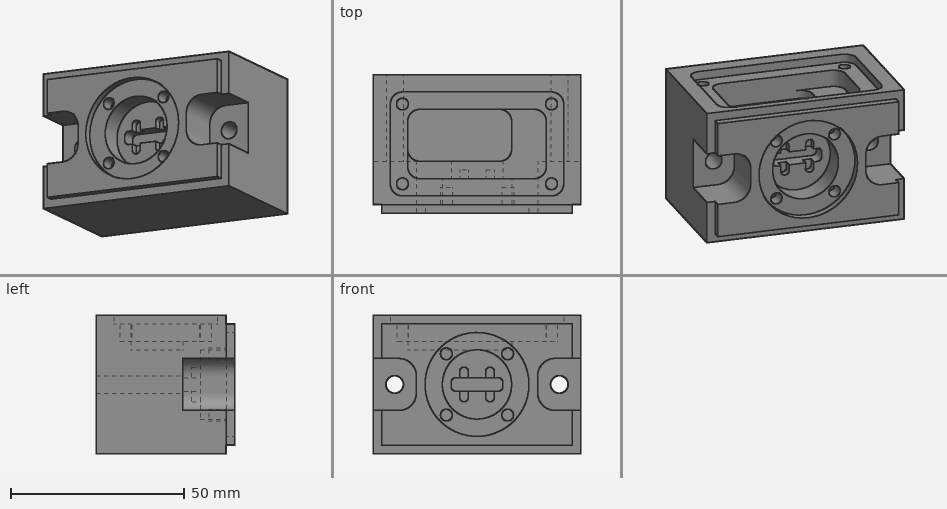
import cadquery as cq

length = 60.0
depth = 40.0
height = 40.0
plate_margin = 2.5
plate_thickness = 2.5

ear_length = 12.5
ear_height = 15.0
ear_depth = 15.0
ear_radius = 5.0
mount_hole_diameter = 5.0
mount_hole_x = 23.75

screw_diameter = 3.4
screw_depth = 5.0

recess_diameter = 30.0
recess_depth = 2.5
bore_diameter = 20.0
bore_depth = 7.5
cross_slot_length = 15.0
cross_slot_width = 4.0
cross_slot_radius = 1.5
pin_slot_length = 10.0
pin_slot_width = 2.5
pin_slot_spacing = 7.5
cross_slot_depth = 5.0
pin_slot_depth = 2.5

pocket_radius = 3.5
lid_length = 50.0
lid_width = 30.0
lid_depth = 2.5
lid_screw_inset = 3.5
cavity_wall = 5.0
cavity_depth = 5.0
well_length = 30.0
well_width = 15.0
well_depth = 2.5

front_y = -depth / 2
shoulder_y = front_y + plate_thickness
top_z = height / 2


def front_plane(y):
    """Workplane at the given Y whose local X and Y run along world X and Z."""
    return cq.Workplane("XZ", origin=(0, y, 0))


def make_body():
    block_depth = depth - plate_thickness
    block = cq.Workplane("XY").box(length, block_depth, height)
    block = block.translate((0, plate_thickness / 2, 0))
    plate = (
        front_plane(shoulder_y)
        .rect(length - 2 * plate_margin, height - 2 * plate_margin)
        .extrude(plate_thickness)
    )
    return block.union(plate)


def cut_ears(body):
    """Cut both side pockets and the mounting holes through their back walls."""
    for side in (-1, 1):
        pocket = (
            front_plane(front_y)
            .center(side * length / 2, 0)
            .rect(2 * ear_length, ear_height)
            .extrude(-ear_depth)
            .edges("|Y")
            .fillet(ear_radius)
        )
        hole = (
            front_plane(front_y)
            .center(side * mount_hole_x, 0)
            .circle(mount_hole_diameter / 2)
            .extrude(-depth)
        )
        body = body.cut(pocket).cut(hole)
    return body


def cut_front_recess(body):
    """Cut the round recess, its four screw holes and the central bore."""
    recess_floor_y = front_y + recess_depth
    screw_circle_diameter = (recess_diameter + bore_diameter) / 2
    recess = front_plane(front_y).circle(recess_diameter / 2).extrude(-recess_depth)
    bore = front_plane(recess_floor_y).circle(bore_diameter / 2).extrude(-bore_depth)
    screws = (
        front_plane(recess_floor_y)
        .polarArray(screw_circle_diameter / 2, 45, 360, 4)
        .circle(screw_diameter / 2)
        .extrude(-screw_depth)
    )
    return body.cut(recess).cut(bore).cut(screws)


def cut_socket(body):
    """Cut the horizontal slot and the two upright slots in the bore floor."""
    bore_floor_y = front_y + recess_depth + bore_depth
    cross_slot = (
        front_plane(bore_floor_y)
        .rect(cross_slot_length, cross_slot_width)
        .extrude(-cross_slot_depth)
        .edges("|Y")
        .fillet(cross_slot_radius)
    )
    pin_slots = (
        front_plane(bore_floor_y)
        .pushPoints([(-pin_slot_spacing / 2, 0), (pin_slot_spacing / 2, 0)])
        .slot2D(pin_slot_length, pin_slot_width, 90)
        .extrude(-pin_slot_depth)
    )
    return body.cut(cross_slot).cut(pin_slots)


def pocket_step(center_x, center_y, size_x, size_y, ceiling_z, step_depth):
    """Rounded rectangular pocket reaching down from ceiling_z."""
    return (
        cq.Workplane("XY", origin=(center_x, center_y, ceiling_z))
        .rect(size_x, size_y)
        .extrude(-step_depth)
        .edges("|Z")
        .fillet(pocket_radius)
    )


def cut_top_pocket(body):
    """Cut the lid recess, the cavity, the deeper well in its corner and the lid screws."""
    lid_floor_z = top_z - lid_depth
    cavity_floor_z = lid_floor_z - cavity_depth
    cavity_length = lid_length - 2 * cavity_wall
    cavity_width = lid_width - 2 * cavity_wall
    well_x = (well_length - cavity_length) / 2
    well_y = (cavity_width - well_width) / 2
    lid = pocket_step(0, 0, lid_length, lid_width, top_z, lid_depth)
    cavity = pocket_step(0, 0, cavity_length, cavity_width, lid_floor_z, cavity_depth)
    well = pocket_step(well_x, well_y, well_length, well_width, cavity_floor_z, well_depth)
    screws = (
        cq.Workplane("XY", origin=(0, 0, lid_floor_z))
        .rect(lid_length - 2 * lid_screw_inset, lid_width - 2 * lid_screw_inset, forConstruction=True)
        .vertices()
        .circle(screw_diameter / 2)
        .extrude(-screw_depth)
    )
    return body.cut(lid).cut(cavity).cut(well).cut(screws)


result = make_body()
result = cut_ears(result)
result = cut_front_recess(result)
result = cut_socket(result)
result = cut_top_pocket(result)